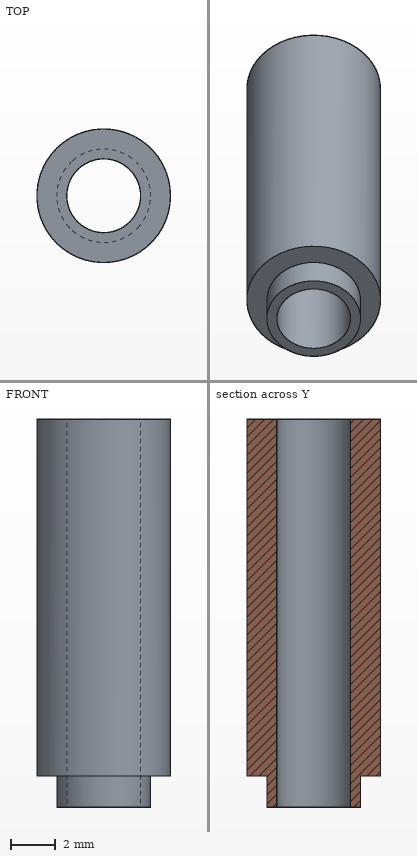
import cadquery as cq

body_diameter = 6.0
body_length = 16.0
spigot_diameter = 4.2
spigot_length = 1.4
bore_diameter = 3.3

total_length = spigot_length + body_length


def cylinder(diameter, length, base_z):
    """Solid cylinder on the Z axis, rising from base_z."""
    return cq.Workplane("XY").workplane(offset=base_z).circle(diameter / 2).extrude(length)


body = cylinder(body_diameter, body_length, 0)
spigot = cylinder(spigot_diameter, spigot_length, -spigot_length)

bore = cylinder(bore_diameter, total_length, -spigot_length)

result = body.union(spigot).cut(bore)